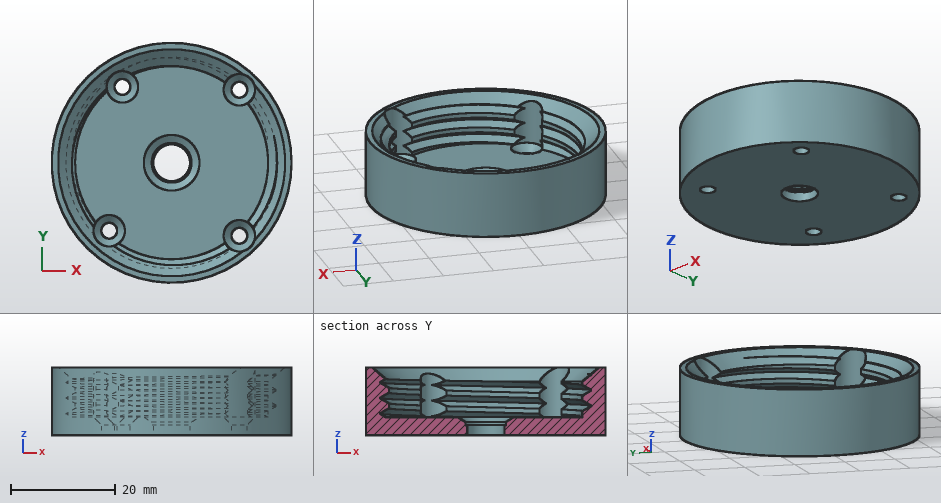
import cadquery as cq

outer_diameter = 46.0
height = 13.0
floor_thickness = 3.5
bore_radius = 18.5
mouth_radius = 21.75
lead_in_depth = 2.75
seam_angle = 120.0

thread_pitch = 3.0
groove_half_width = 1.0
groove_depth = 1.75
thread_turns = 3
thread_top = 11.75
thread_top_angle = 14.0
profile_overlap = 0.1

centre_hole_diameter = 7.05
centre_step_diameter = 7.65
centre_sink_diameter = 10.65
centre_sink_depth = 0.95
centre_step_depth = 1.55

screw_hole_diameter = 3.0
screw_head_diameter = 6.03
screw_sink_depth = (screw_head_diameter - screw_hole_diameter) / 2
screw_positions = [(-9.45, 14.55), (12.95, 14.0), (-11.95, -13.0), (12.95, -14.0)]


def cylinder(diameter, bottom, top):
    return cq.Workplane("XY").workplane(offset=bottom).circle(diameter / 2).extrude(top - bottom)


def cone(bottom_radius, top_radius, bottom, top):
    return cq.Workplane(
        cq.Solid.makeCone(bottom_radius, top_radius, top - bottom, cq.Vector(0, 0, bottom))
    )


def make_cup():
    body = cylinder(outer_diameter, 0, height)
    bore = cylinder(2 * bore_radius, floor_thickness, height)
    lead_in = cone(bore_radius, mouth_radius, height - lead_in_depth, height)
    cup = body.cut(bore).cut(lead_in)
    return cup.rotate((0, 0, 0), (0, 0, 1), seam_angle)


def make_thread_groove():
    """Helical V groove, trimmed flat at the cup floor."""
    groove_length = thread_turns * thread_pitch
    start_height = thread_top - groove_length
    helix = cq.Wire.makeHelix(thread_pitch, groove_length + thread_pitch / 2, bore_radius)
    overlap_half_width = groove_half_width * (1 + profile_overlap / groove_depth)
    groove = (
        cq.Workplane("XZ")
        .polyline([
            (bore_radius - profile_overlap, -overlap_half_width),
            (bore_radius + groove_depth, 0),
            (bore_radius - profile_overlap, overlap_half_width),
        ])
        .close()
        .sweep(cq.Workplane(helix), isFrenet=True)
        .translate((0, 0, start_height))
        .rotate((0, 0, 0), (0, 0, 1), thread_top_angle - 360 * thread_turns)
    )
    return groove.intersect(cylinder(outer_diameter, floor_thickness, height))


def make_centre_hole():
    sink_bottom = floor_thickness - centre_sink_depth
    step_bottom = floor_thickness - centre_step_depth
    through = cylinder(centre_hole_diameter, 0, floor_thickness)
    step = cylinder(centre_step_diameter, step_bottom, floor_thickness)
    sink = cone(centre_step_diameter / 2, centre_sink_diameter / 2, sink_bottom, floor_thickness)
    return through.union(step).union(sink)


def make_screw_hole():
    """Through hole, countersink and head clearance up to the rim."""
    through = cylinder(screw_hole_diameter, 0, floor_thickness)
    sink_bottom = floor_thickness - screw_sink_depth
    sink = cone(screw_hole_diameter / 2, screw_head_diameter / 2, sink_bottom, floor_thickness)
    clearance = cylinder(screw_head_diameter, floor_thickness, height)
    return through.union(sink).union(clearance)


result = make_cup().cut(make_thread_groove()).cut(make_centre_hole())
for x, y in screw_positions:
    result = result.cut(make_screw_hole().translate((x, y, 0)))